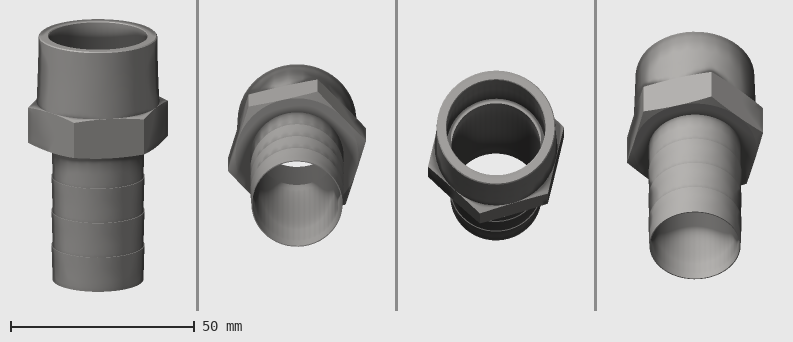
import cadquery as cq
import math

total_height = 69.1
thread_length = 18.85
hex_height = 11.2
barb_count = 4
hex_top = total_height - thread_length
hex_bottom = hex_top - hex_height
barb_pitch = hex_bottom / barb_count

hex_across_flats = 33.5
hex_corner_chamfer_height = 0.6
thread_base_radius = 16.7
thread_tip_radius = 16.2
thread_tip_chamfer = 0.3
barb_crest_radius = 12.7
barb_tip_radius = 12.45

bore_radius = 12.15
socket_radius = 13.5
socket_depth = thread_length
socket_mouth_chamfer = 0.2


def make_hex_nut():
    """Hexagon with flats facing +/-X and corners chamfered at both ends."""
    corner_radius = hex_across_flats / math.sqrt(3)
    face_radius = hex_across_flats / 2
    prism = (
        cq.Workplane("XY")
        .workplane(offset=hex_bottom)
        .polygon(6, 2 * corner_radius)
        .extrude(hex_height)
        .rotate((0, 0, 0), (0, 0, 1), 30)
    )
    chamfer_envelope = (
        cq.Workplane("XZ")
        .moveTo(0, hex_bottom)
        .lineTo(face_radius, hex_bottom)
        .lineTo(corner_radius, hex_bottom + hex_corner_chamfer_height)
        .lineTo(corner_radius, hex_top - hex_corner_chamfer_height)
        .lineTo(face_radius, hex_top)
        .lineTo(0, hex_top)
        .close()
        .revolve(360, (0, 0, 0), (0, 1, 0))
    )
    return prism.intersect(chamfer_envelope)


def make_round_body():
    """Barbed tail below and tapered thread blank above, as one revolved solid."""
    profile = cq.Workplane("XZ").moveTo(0, 0)
    for index in range(barb_count):
        profile = profile.lineTo(barb_tip_radius, index * barb_pitch)
        profile = profile.lineTo(barb_crest_radius, (index + 1) * barb_pitch)
    return (
        profile.lineTo(barb_crest_radius, hex_top)
        .lineTo(thread_base_radius, hex_top)
        .lineTo(thread_tip_radius, total_height - thread_tip_chamfer)
        .lineTo(thread_tip_radius - thread_tip_chamfer, total_height)
        .lineTo(0, total_height)
        .close()
        .revolve(360, (0, 0, 0), (0, 1, 0))
    )


def make_bore():
    """Through bore with a wider socket and chamfered mouth at the thread end."""
    socket_floor = total_height - socket_depth
    return (
        cq.Workplane("XZ")
        .lineTo(bore_radius, 0)
        .lineTo(bore_radius, socket_floor)
        .lineTo(socket_radius, socket_floor)
        .lineTo(socket_radius, total_height - socket_mouth_chamfer)
        .lineTo(socket_radius + socket_mouth_chamfer, total_height)
        .lineTo(0, total_height)
        .close()
        .revolve(360, (0, 0, 0), (0, 1, 0))
    )


result = make_round_body().union(make_hex_nut()).cut(make_bore())